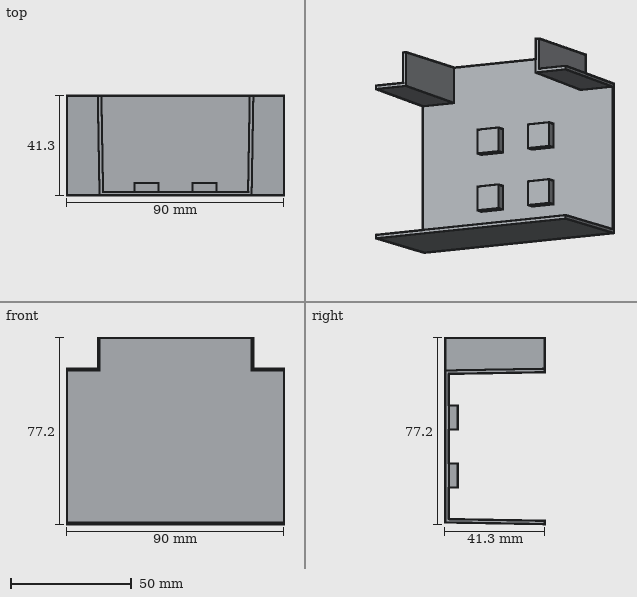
import cadquery as cq
import math

run_length = 90.0
face_width = 63.0
depth = 41.3
face_thickness = 1.5
wall_thickness = 1.5
draft_angle = 1.0
lug_size = 10.0
lug_height = 3.7
lug_pitch = 24.0

half_face = face_width / 2
draft_slope = math.tan(math.radians(draft_angle))
branch_top = run_length / 2


def channel_section(plane, base_half_width, front, length):
    """Extruded trapezoid from Y = front to the open back, widening at the draft angle."""
    front_half = base_half_width + front * draft_slope
    back_half = base_half_width + depth * draft_slope
    if plane == "XY":
        corners = [(-front_half, front), (front_half, front), (back_half, depth), (-back_half, depth)]
    else:
        corners = [(front, -front_half), (front, front_half), (depth, back_half), (depth, -back_half)]
    return cq.Workplane(plane).polyline(corners).close().extrude(length)


def tee(base_half_width, front):
    """Solid T made of the run along X and the branch rising along Z."""
    run = channel_section("YZ", base_half_width, front, run_length)
    run = run.translate((-run_length / 2, 0, 0))
    branch = channel_section("XY", base_half_width, front, branch_top)
    return run.union(branch)


def lug(x, z):
    """Square lug on the inside of the face, its root merged with the full thickness of the face."""
    height = face_thickness + lug_height
    return cq.Workplane("XY").box(lug_size, height, lug_size).translate((x, height / 2, z))


cover = tee(half_face, 0).cut(tee(half_face - wall_thickness, face_thickness))

for x_side in (-1, 1):
    for z_side in (-1, 1):
        cover = cover.union(lug(x_side * lug_pitch / 2, z_side * lug_pitch / 2))

result = cover